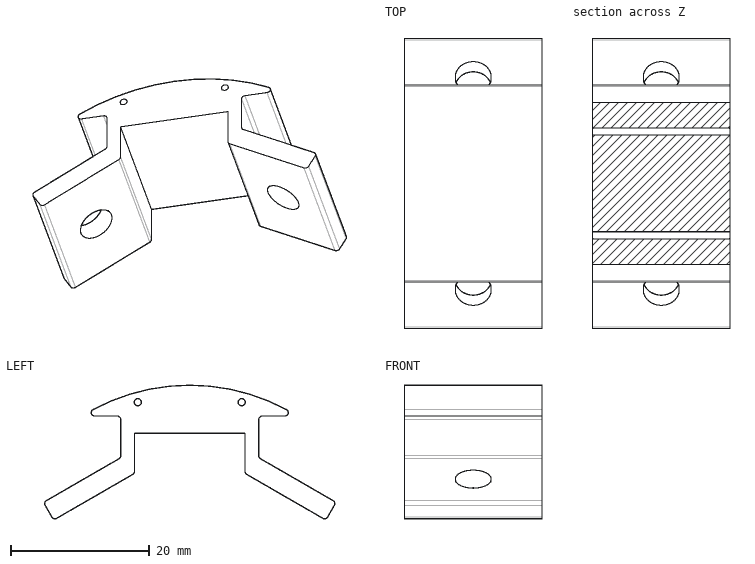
import cadquery as cq
import math

length = 20.0
overall_width = 42.05
overall_height = 19.4

crown_radius = 29.5
cap_underside = -4.5
edge_radius = 0.5
web_bottom = -7.0

leg_outer = 10.0
leg_inner = 8.0

arm_angle = math.radians(30)
arm_thickness = 3.0
arm_hole_diameter = 5.2
arm_hole_y = 15.4

pin_hole_diameter = 1.0
pin_hole_y = 7.55
pin_hole_z = -2.5

cos_arm = math.cos(arm_angle)
sin_arm = math.sin(arm_angle)
tan_arm = math.tan(arm_angle)

lip_z = cap_underside + edge_radius
lip_y = math.sqrt((crown_radius - edge_radius) ** 2 - (lip_z + crown_radius) ** 2)
lip_direction = math.atan2(lip_z + crown_radius, lip_y)
lip_top = (
    lip_y + edge_radius * math.cos(lip_direction),
    lip_z + edge_radius * math.sin(lip_direction),
)
crown_mid_angle = (lip_direction + math.pi / 2) / 2
crown_mid = (
    crown_radius * math.cos(crown_mid_angle),
    crown_radius * (math.sin(crown_mid_angle) - 1),
)

upper_center_y = overall_width / 2 - edge_radius
center_spacing = arm_thickness - 2 * edge_radius
lower_center_z = -overall_height + edge_radius
upper_center_z = lower_center_z + center_spacing * cos_arm
tip_upper = (
    upper_center_y + edge_radius * (cos_arm + sin_arm),
    upper_center_z + edge_radius * (cos_arm - sin_arm),
)
tip_lower = (
    tip_upper[0] - arm_thickness * sin_arm,
    tip_upper[1] - arm_thickness * cos_arm,
)
arm_top_at_leg = tip_upper[1] + (tip_upper[0] - leg_outer) * tan_arm
arm_bottom_at_leg = tip_lower[1] + (tip_lower[0] - leg_inner) * tan_arm


def edges_at(body, points):
    """Select the lengthwise edges passing through the given (Y, Z) points."""
    edges = body.edges(cq.selectors.NearestToPointSelector((0, *points[0])))
    for point in points[1:]:
        edges = edges.add(body.edges(cq.selectors.NearestToPointSelector((0, *point))))
    return edges


def make_half():
    """Half of the extruded profile on the +Y side, with its corners rounded."""
    profile = (
        cq.Workplane("YZ", origin=(-length / 2, 0, 0))
        .moveTo(0, 0)
        .threePointArc(crown_mid, lip_top)
        .threePointArc((lip_y + edge_radius, lip_z), (lip_y, cap_underside))
        .lineTo(leg_outer, cap_underside)
        .lineTo(leg_outer, arm_top_at_leg)
        .lineTo(*tip_upper)
        .lineTo(*tip_lower)
        .lineTo(leg_inner, arm_bottom_at_leg)
        .lineTo(leg_inner, web_bottom)
        .lineTo(0, web_bottom)
        .close()
    )
    rounded_corners = [
        (leg_outer, cap_underside),
        (leg_outer, arm_top_at_leg),
        tip_upper,
        tip_lower,
        (leg_inner, arm_bottom_at_leg),
    ]
    body = profile.extrude(length)
    return edges_at(body, rounded_corners).fillet(edge_radius)


def make_arm_hole():
    """Cutter square to the arm, centred on its upper face."""
    hole_z = arm_top_at_leg - (arm_hole_y - leg_outer) * tan_arm
    normal = cq.Vector(0, sin_arm, cos_arm)
    start = cq.Vector(0, arm_hole_y, hole_z) + normal * arm_thickness
    return cq.Solid.makeCylinder(arm_hole_diameter / 2, 3 * arm_thickness, start, normal * -1)


def make_pin_hole():
    """Cutter for the small hole through the full length of the cap."""
    start = cq.Vector(-length / 2, pin_hole_y, pin_hole_z)
    return cq.Solid.makeCylinder(pin_hole_diameter / 2, length, start, cq.Vector(1, 0, 0))


half = make_half().cut(make_arm_hole()).cut(make_pin_hole())
result = half.union(half.mirror("XZ")).clean()